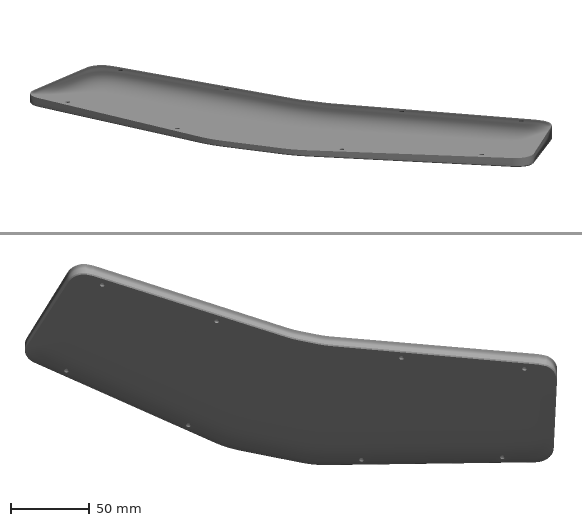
import cadquery as cq

depth = 119.5
back_height = 10.0
front_height = 4.0
front_y = -depth / 2
back_y = depth / 2

front_middle_corner = (28.8, front_y)
front_end_corner = (175.7, -18.5)
back_end_corner = (158.7, 61.5)
back_middle_corner = (10.5, 40.5)
end_radius = 12.0
middle_radius = 60.0

bottom_chamfer = 0.7

hole_diameter = 3.0
right_holes = [(139.0, 53.5), (60.8, 42.5), (57.0, -47.0), (143.5, -22.2)]


def mirrored(points):
    """Reflect points across the YZ plane."""
    return [(-x, y) for x, y in points]


def make_outline_prism():
    """Full-height plate with all vertical corners rounded."""
    right_side = [front_middle_corner, front_end_corner, back_end_corner, back_middle_corner]
    outline = right_side + mirrored(reversed(right_side))
    prism = cq.Workplane("XY").polyline(outline).close().extrude(back_height)

    end_corners = [front_end_corner, back_end_corner]
    middle_corners = [front_middle_corner, back_middle_corner]
    for corners, radius in ((end_corners, end_radius), (middle_corners, middle_radius)):
        for x, y in corners + mirrored(corners):
            edge = cq.selectors.NearestToPointSelector((x, y, back_height / 2))
            prism = prism.edges("|Z").edges(edge).fillet(radius)
    return prism


def make_wedge():
    """Block with a sloping underside, wider than the plate."""
    width = 2 * (front_end_corner[0] + end_radius)
    profile = [
        (front_y, back_height - front_height),
        (front_y, back_height),
        (back_y, back_height),
        (back_y, 0),
    ]
    return cq.Workplane("YZ").polyline(profile).close().extrude(width / 2, both=True)


plate = make_outline_prism().intersect(make_wedge())
plate = plate.faces("<Z").chamfer(bottom_chamfer)

holes = (
    cq.Workplane("XY")
    .pushPoints(right_holes + mirrored(right_holes))
    .circle(hole_diameter / 2)
    .extrude(back_height)
)

result = plate.cut(holes)